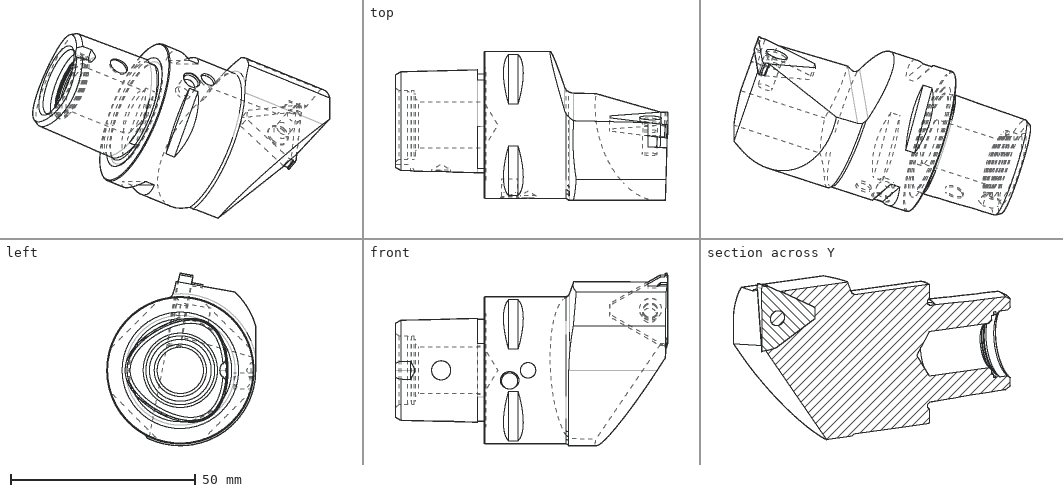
import cadquery as cq
import math

OVERALL_LENGTH = 74.0

SHANK_MEAN_RADIUS = 14.0
SHANK_LOBE = 1.0
SHANK_END = 22.3
SHANK_TAPER = 1 / 40
SHANK_CHAMFER_LENGTH = 1.45
SHANK_CHAMFER_HEIGHT = 0.85
NECK_RADIUS = 13.9
RECESS_ROUND = 1.0
RECESS_SETBACK = 0.4

BORE_MOUTH_RADIUS = 10.1
BORE_ENTRY_RADIUS = 9.35
BORE_LIP_RADIUS = 8.4
BORE_INNER_RADIUS = 7.1
BORE_DRILL_RADIUS = 6.3
BORE_MOUTH_DEPTH = 0.9
BORE_LIP_START = 3.2
BORE_GROOVE_START = 4.4
BORE_GROOVE_END = 5.0
BORE_STEP = 5.5
BORE_DRILL_END = 24.0
DRILL_POINT_ANGLE = 118.0

FLANGE_START = 24.0
FLANGE_END = 46.3
FLANGE_RADIUS = 20.0
FLANGE_CHAMFER = 0.25
GRIPPER_X = 32.0
GRIPPER_FLOOR_RADIUS = 17.6
GRIPPER_FLOOR_WIDTH = 2.6
GRIPPER_TOP_WIDTH = 5.4
GRIPPER_ANGLES = (45, 135, 225, 315)

KEY_DRILL_RADIUS = 2.6
KEY_DRILL_Y = -13.3
KEY_DRILL_DEPTH = 4.1
SHANK_DIMPLE_X = 12.4
SHANK_DIMPLE_RADIUS = 2.6
FLANGE_DIMPLE_X = 36.0
FLANGE_DIMPLE_RADIUS = 2.1
DIMPLE_WALL_DEPTH = 0.8
BALL_X = 31.0
BALL_Z = -2.9
BALL_RADIUS = 2.2
BALL_TOP_Y = -19.0
BALL_HOLE_MOUTH_RADIUS = 2.55

HEAD_RADIUS = 20.5
HEAD_FLAT_TOP = 12.0
SHOULDER_CORNER = (-14.8, 21.3)
SHOULDER_RADIUS = 20.5
HEAD_ROOT_RADIUS = 20.8
HEAD_ROOT_SAG = 0.15
HEAD_ROOT_X = 47.2
HEAD_CONE_ANGLE = 20.0
HEAD_ENVELOPE_RADIUS = 30.0

SEAT_LEAN = math.radians(10.0)
SEAT_TURN = math.radians(1.5)
SEAT_OFFSET = 4.66
HEAD_FRONT_SETBACK = 0.1
WALL_FOOT = 27.5
WALL_SLOPE = 0.34
WALL_FILLET = 2.6
SIDE_CUT_REACH = 40.0

CLEARANCE_POINT = (71.1, -HEAD_RADIUS, 0.0)
CLEARANCE_RISE_X = 1.54
CLEARANCE_RISE_Y = 0.24
CLEARANCE_SIZE = 120.0

INSERT_THICKNESS = 3.64
INSERT_MID_HEIGHT = 16.05
INSERT_LENGTH = 15.8
INSERT_FLANK_ANGLE = 30.0
INSERT_CORNER = (
    (0.0, 9.0),
    (-0.28, 9.95),
    (-0.73, 9.85),
    (-0.83, 9.45),
    (-2.03, 9.45),
)

SCREW_SETBACK = 4.75
SCREW_HEAD_RADIUS = 3.0
SCREW_SHANK_RADIUS = 2.0
SCREW_HEAD_WALL = 0.6
SCREW_HEAD_DEPTH = 1.8
SCREW_LENGTH = 10.0

NOTCH_LENGTH = 5.3
NOTCH_WIDTH = 3.1
NOTCH_FLOOR = 23.1
STOP_TOP = 24.0
STOP_FOOT = 2.9
STOP_SHOULDER = 1.95

SEAT_UP = cq.Vector(0, -math.sin(SEAT_LEAN), math.cos(SEAT_LEAN))
SEAT_FORWARD = cq.Vector(
    math.cos(SEAT_TURN),
    -math.sin(SEAT_TURN) * math.cos(SEAT_LEAN),
    -math.sin(SEAT_TURN) * math.sin(SEAT_LEAN),
)
SEAT_ORIGIN = (OVERALL_LENGTH, SEAT_OFFSET * math.cos(SEAT_LEAN), SEAT_OFFSET * math.sin(SEAT_LEAN))


def seat_plan():
    """Workplane seen along the seat's upright axis: x forward, y outward."""
    return cq.Workplane(cq.Plane(SEAT_ORIGIN, SEAT_FORWARD, SEAT_UP))


def seat_side():
    """Workplane on the seat side face: x forward, y up, extrusion goes into the head."""
    inward = SEAT_FORWARD.cross(SEAT_UP)
    return cq.Workplane(cq.Plane(SEAT_ORIGIN, SEAT_FORWARD, inward))


def drill_point_length(radius):
    return radius / math.tan(math.radians(DRILL_POINT_ANGLE / 2))


def turned(profile):
    """Body of revolution about X from (x, radius) points."""
    return cq.Workplane("XY").polyline(profile).close().revolve(360, (0, 0, 0), (1, 0, 0))


def pointed_drill(start, wall_end, radius):
    """Drill-shaped cutter along X from start, with its point beyond wall_end."""
    tip = wall_end + drill_point_length(radius)
    return turned([(start, 0), (start, radius), (wall_end, radius), (tip, 0)])


def lobed_section(workplane, mean_radius):
    """Three-lobed closed curve in the YZ plane with one lobe towards +Y."""
    def point(t):
        angle = 2 * math.pi * t
        return (
            mean_radius * math.cos(angle) + SHANK_LOBE * math.cos(2 * angle),
            mean_radius * math.sin(angle) - SHANK_LOBE * math.sin(2 * angle),
        )
    return workplane.parametricCurve(point, N=60)


def lobed_loft(start, length, start_radius, end_radius):
    first = lobed_section(cq.Workplane("YZ").workplane(offset=start), start_radius)
    return lobed_section(first.workplane(offset=length), end_radius).loft(ruled=True)


def make_shank():
    taper_length = SHANK_END - SHANK_CHAMFER_LENGTH
    front_radius = SHANK_MEAN_RADIUS - taper_length * SHANK_TAPER
    chamfer = lobed_loft(
        0, SHANK_CHAMFER_LENGTH, front_radius - SHANK_CHAMFER_HEIGHT, front_radius
    )
    taper = lobed_loft(SHANK_CHAMFER_LENGTH, taper_length, front_radius, SHANK_MEAN_RADIUS)
    neck_length = FLANGE_START - SHANK_END
    neck = lobed_loft(SHANK_END, neck_length, SHANK_MEAN_RADIUS, SHANK_MEAN_RADIUS)
    ring = cq.Workplane("YZ").workplane(offset=SHANK_END).circle(NECK_RADIUS).extrude(neck_length)
    neck = neck.intersect(ring)
    return chamfer.union(taper).union(neck)


def make_flange():
    flange = (
        cq.Workplane("YZ").workplane(offset=FLANGE_START)
        .circle(FLANGE_RADIUS).extrude(FLANGE_END - FLANGE_START)
        .faces("<X").chamfer(FLANGE_CHAMFER)
    )
    recess = (
        cq.Workplane("XY")
        .center(FLANGE_START - RECESS_SETBACK, NECK_RADIUS + RECESS_ROUND)
        .circle(RECESS_ROUND)
        .revolve(360, (0, -NECK_RADIUS - RECESS_ROUND, 0), (1, -NECK_RADIUS - RECESS_ROUND, 0))
    )
    return flange.cut(recess)


def make_head():
    deck_run = HEAD_RADIUS - SHOULDER_CORNER[0]
    deck_end = (HEAD_RADIUS, SHOULDER_CORNER[1] + deck_run * math.tan(SEAT_LEAN))
    section = (
        cq.Workplane("YZ").workplane(offset=FLANGE_END)
        .moveTo(HEAD_RADIUS, 0)
        .threePointArc((0, -HEAD_RADIUS), (-HEAD_RADIUS, 0))
        .lineTo(-HEAD_RADIUS, HEAD_FLAT_TOP)
        .radiusArc(SHOULDER_CORNER, SHOULDER_RADIUS)
        .lineTo(*deck_end)
        .close()
        .extrude(OVERALL_LENGTH - FLANGE_END)
    )
    cone_run = (HEAD_ENVELOPE_RADIUS - HEAD_ROOT_RADIUS) * math.tan(math.radians(HEAD_CONE_ANGLE))
    envelope = (
        cq.Workplane("XY")
        .moveTo(FLANGE_END, 0)
        .lineTo(FLANGE_END, FLANGE_RADIUS)
        .sagittaArc((HEAD_ROOT_X, HEAD_ROOT_RADIUS), -HEAD_ROOT_SAG)
        .lineTo(HEAD_ROOT_X + cone_run, HEAD_ENVELOPE_RADIUS)
        .lineTo(OVERALL_LENGTH, HEAD_ENVELOPE_RADIUS)
        .lineTo(OVERALL_LENGTH, 0)
        .close()
        .revolve(360, (0, 0, 0), (1, 0, 0))
    )
    return section.intersect(envelope)


def side_cut():
    """Everything outside the seat side face, back to the slanted wall, and ahead of the front."""
    reach = SIDE_CUT_REACH
    side = (
        seat_plan().workplane(offset=-reach)
        .polyline([
            (reach, 0),
            (reach, reach),
            (-WALL_FOOT - reach * WALL_SLOPE, reach),
            (-WALL_FOOT, 0),
        ])
        .close().extrude(2 * reach)
    )
    wall_foot = seat_plan().plane.toWorldCoords((-WALL_FOOT, 0, 0))
    side = side.edges(cq.NearestToPointSelector(wall_foot.toTuple())).fillet(WALL_FILLET)
    front = (
        seat_plan().workplane(offset=-reach)
        .center(-HEAD_FRONT_SETBACK + reach / 2, 0)
        .rect(reach, 2 * reach).extrude(2 * reach)
    )
    return side.union(front)


def clearance_cut():
    outward = cq.Vector(CLEARANCE_RISE_X, CLEARANCE_RISE_Y, -1)
    plane = cq.Plane(CLEARANCE_POINT, cq.Vector(1, 0, CLEARANCE_RISE_X), outward)
    return cq.Workplane(plane).rect(CLEARANCE_SIZE, CLEARANCE_SIZE).extrude(CLEARANCE_SIZE)


def bore_cut():
    drill_tip = BORE_DRILL_END + drill_point_length(BORE_DRILL_RADIUS)
    chamfer = BORE_INNER_RADIUS - BORE_DRILL_RADIUS
    return turned([
        (0, 0),
        (0, BORE_MOUTH_RADIUS),
        (BORE_MOUTH_DEPTH, BORE_ENTRY_RADIUS),
        (BORE_LIP_START, BORE_ENTRY_RADIUS),
        (BORE_LIP_START + BORE_ENTRY_RADIUS - BORE_LIP_RADIUS, BORE_LIP_RADIUS),
        (BORE_GROOVE_START, BORE_LIP_RADIUS),
        (BORE_GROOVE_START, BORE_ENTRY_RADIUS),
        (BORE_GROOVE_END, BORE_ENTRY_RADIUS),
        (BORE_GROOVE_END, BORE_LIP_RADIUS),
        (BORE_STEP, BORE_LIP_RADIUS),
        (BORE_STEP, BORE_INNER_RADIUS),
        (BORE_STEP + chamfer, BORE_DRILL_RADIUS),
        (BORE_DRILL_END, BORE_DRILL_RADIUS),
        (drill_tip, 0),
    ])


def gripper_slots():
    """Four straight V-sided slots across the flange."""
    half_floor = GRIPPER_FLOOR_WIDTH / 2
    half_top = GRIPPER_TOP_WIDTH / 2
    slot = (
        cq.Workplane("XZ").workplane(offset=-FLANGE_RADIUS)
        .polyline([
            (GRIPPER_X - half_floor, GRIPPER_FLOOR_RADIUS),
            (GRIPPER_X + half_floor, GRIPPER_FLOOR_RADIUS),
            (GRIPPER_X + half_top, FLANGE_RADIUS),
            (GRIPPER_X - half_top, FLANGE_RADIUS),
        ])
        .close().extrude(2 * FLANGE_RADIUS)
    )
    slots = cq.Workplane("XY")
    for angle in GRIPPER_ANGLES:
        slots = slots.add(slot.rotate((0, 0, 0), (1, 0, 0), angle))
    return slots.combine()


def dimple(x, radius, surface):
    """Pointed hole drilled along +Y into a surface at Y = -surface."""
    drill = pointed_drill(-FLANGE_RADIUS, DIMPLE_WALL_DEPTH, radius)
    return drill.rotate((0, 0, 0), (0, 0, 1), 90).translate((x, -surface, 0))


def ball_hole():
    """Flat-bottomed hole along +Y that fits the ball, with a chamfered mouth."""
    surface = math.sqrt(FLANGE_RADIUS**2 - BALL_Z**2)
    chamfer = BALL_HOLE_MOUTH_RADIUS - BALL_RADIUS
    depth = surface + BALL_TOP_Y + 2 * BALL_RADIUS
    bore = turned([
        (-BALL_HOLE_MOUTH_RADIUS, 0),
        (-BALL_HOLE_MOUTH_RADIUS, BALL_HOLE_MOUTH_RADIUS),
        (0, BALL_HOLE_MOUTH_RADIUS),
        (chamfer, BALL_RADIUS),
        (depth, BALL_RADIUS),
        (depth, 0),
    ])
    return bore.rotate((0, 0, 0), (0, 0, 1), 90).translate((BALL_X, -surface, BALL_Z))


def make_stop():
    """Small stop that rises out of the relief notch beside the insert."""
    return (
        seat_side().workplane(offset=INSERT_THICKNESS)
        .polyline([
            (-STOP_FOOT, NOTCH_FLOOR),
            (-STOP_SHOULDER, STOP_TOP),
            (-HEAD_FRONT_SETBACK, STOP_TOP),
            (-HEAD_FRONT_SETBACK, NOTCH_FLOOR),
        ])
        .close().extrude(NOTCH_WIDTH)
    )


def notch_cut():
    return (
        seat_side().workplane(offset=INSERT_THICKNESS)
        .moveTo(-NOTCH_LENGTH, NOTCH_FLOOR)
        .rect(NOTCH_LENGTH, STOP_TOP - NOTCH_FLOOR, centered=False)
        .extrude(NOTCH_WIDTH)
    )


def make_holder():
    key_drill = pointed_drill(0, KEY_DRILL_DEPTH, KEY_DRILL_RADIUS).translate((0, KEY_DRILL_Y, 0))
    shank_surface = SHANK_MEAN_RADIUS - SHANK_LOBE
    holder = make_flange().union(make_shank()).union(make_head())
    holder = holder.cut(side_cut()).cut(clearance_cut()).cut(bore_cut()).cut(gripper_slots())
    holder = holder.cut(key_drill).cut(ball_hole())
    holder = holder.cut(dimple(SHANK_DIMPLE_X, SHANK_DIMPLE_RADIUS, shank_surface))
    holder = holder.cut(dimple(FLANGE_DIMPLE_X, FLANGE_DIMPLE_RADIUS, FLANGE_RADIUS))
    holder = holder.cut(notch_cut()).union(make_stop())
    return holder.cut(insert_blank()).cut(make_screw())


def insert_blank():
    """Triangular insert without its screw hole."""
    flank_start = INSERT_CORNER[-1]
    flank_drop = (INSERT_LENGTH + flank_start[0]) * math.tan(math.radians(INSERT_FLANK_ANGLE))
    upper_half = [*INSERT_CORNER, (-INSERT_LENGTH, flank_start[1] - flank_drop)]
    lower_half = [(x, -y) for x, y in reversed(upper_half)]
    return (
        seat_side().center(0, INSERT_MID_HEIGHT)
        .polyline(upper_half + lower_half).close().extrude(INSERT_THICKNESS)
    )


def make_insert():
    return insert_blank().cut(make_screw())


def make_screw():
    """Countersunk screw, flush with the outer face of the insert."""
    return (
        seat_side().center(-SCREW_SETBACK, INSERT_MID_HEIGHT)
        .transformed(rotate=(90, 0, 0))
        .polyline([
            (0, 0),
            (SCREW_HEAD_RADIUS, 0),
            (SCREW_HEAD_RADIUS, SCREW_HEAD_WALL),
            (SCREW_SHANK_RADIUS, SCREW_HEAD_DEPTH),
            (SCREW_SHANK_RADIUS, SCREW_LENGTH),
            (0, SCREW_LENGTH),
        ])
        .close().revolve(360, (0, 0, 0), (0, 1, 0))
    )


def make_ball():
    return cq.Workplane("XY").sphere(BALL_RADIUS).translate((BALL_X, BALL_TOP_Y + BALL_RADIUS, BALL_Z))


holder = make_holder()
insert = make_insert()
screw = make_screw()
ball = make_ball()

result = cq.Compound.makeCompound([holder.val(), insert.val(), screw.val(), ball.val()])